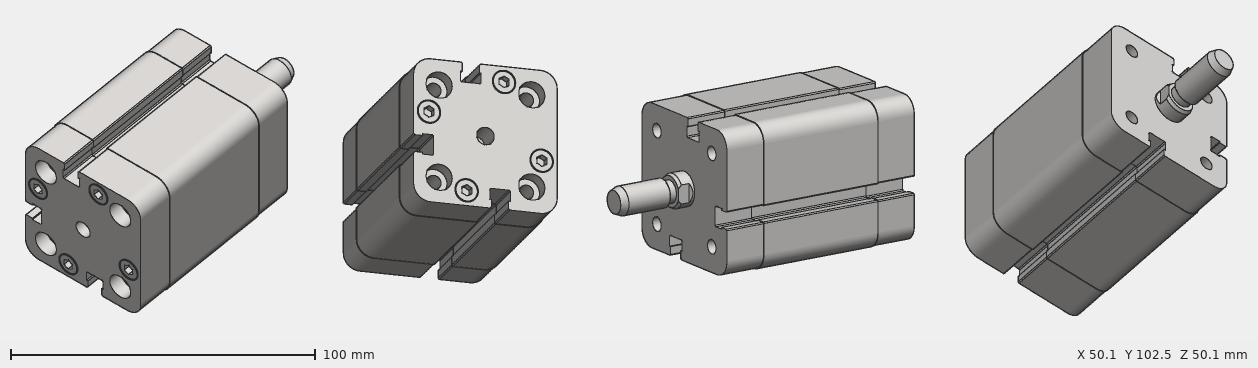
import cadquery as cq

OVERALL_LENGTH = 102.5
BARREL_SIDE = 50.1
CAP_SIDE = 49.6
BARREL_CORNER_RADIUS = 6.0
CAP_CORNER_RADIUS = BARREL_CORNER_RADIUS - (BARREL_SIDE - CAP_SIDE) / 2
CAP_LENGTH = 14.6
BARREL_LENGTH = 45.4
BODY_LENGTH = BARREL_LENGTH + 2 * CAP_LENGTH

SLOT_OFFSET = 5.0
CAP_SLOT_FLOOR_HEIGHT = 17.9
BARREL_SLOT_FLOOR_HEIGHT = 17.8
SLOT_LIP_HEIGHT = 21.7
BARREL_MOUTH_WIDTH = 5.5
CAP_MOUTH_WIDTH = 5.8
SLOT_UNDERCUT = 0.6
MOUTH_CHAMFER = 0.4
FLOOR_CHAMFER = 0.4
SLOT_ANGLES = (0, 90, 180)

MOUNT_SPACING = 32.0
MOUNT_DIAMETER = 4.9
MOUNT_BORE_DIAMETER = 9.0
MOUNT_BORE_DEPTH = 5.6

CENTRE_HOLE_DIAMETER = 6.0
CENTRE_HOLE_DEPTH = 10.2

SCREW_X = 6.5
SCREW_Z = 19.5
SCREW_POCKET_DIAMETER = 8.0
SCREW_HEAD_DIAMETER = 7.5
SCREW_GAP_DEPTH = 0.3
SOCKET_CORNER_DIAMETER = 4.0
SOCKET_DEPTH = 3.0

COLLAR_DIAMETER = 12.0
COLLAR_LENGTH = 5.8
COLLAR_CHAMFER_RADIAL = 0.6
COLLAR_CHAMFER_LENGTH = 1.2
FLATS_WIDTH = 10.0
FLATS_LENGTH = 4.2
NECK_DIAMETER = 7.9
NECK_LENGTH = 2.5
THREAD_DIAMETER = 10.0
THREAD_RUNOUT_LENGTH = 0.6
TIP_DIAMETER = 8.0
TIP_LENGTH = 2.6


def turned(shape, angle):
    """Turn a shape about the cylinder axis."""
    return shape.rotate((0, 0, 0), (0, 1, 0), angle)


def face_plane(y):
    """Plane at the given Y with X to the right, Z up, and its normal toward -Y."""
    return cq.Workplane("XZ", origin=(0, y, 0))


def slot_cutter(start, length, side, mouth_width, floor_height):
    """T-slot opening on the +Z side, with chamfered mouth and floor corners."""
    top = side / 2
    mouth = mouth_width / 2
    wide = mouth + SLOT_UNDERCUT
    right_side = [
        (mouth + MOUTH_CHAMFER, top),
        (mouth, top - MOUTH_CHAMFER),
        (mouth, SLOT_LIP_HEIGHT),
        (wide, SLOT_LIP_HEIGHT),
        (wide, floor_height + FLOOR_CHAMFER),
        (wide - FLOOR_CHAMFER, floor_height),
    ]
    left_side = [(-x, z) for x, z in reversed(right_side)]
    outline = [(x - SLOT_OFFSET, z) for x, z in right_side + left_side]
    return face_plane(start).polyline(outline).close().extrude(-length)


def body_section(start, length, side, corner_radius, mouth_width, floor_height):
    """Rounded square length of the body with its T-slots."""
    section = face_plane(start).rect(side, side).extrude(-length)
    section = section.edges("|Y").fillet(corner_radius)
    cutter = slot_cutter(start, length, side, mouth_width, floor_height)
    for angle in SLOT_ANGLES:
        section = section.cut(turned(cutter, -angle))
    return section


def make_body():
    """Barrel with a slightly smaller cap at each end."""
    barrel_shape = (BARREL_SIDE, BARREL_CORNER_RADIUS, BARREL_MOUTH_WIDTH, BARREL_SLOT_FLOOR_HEIGHT)
    cap_shape = (CAP_SIDE, CAP_CORNER_RADIUS, CAP_MOUTH_WIDTH, CAP_SLOT_FLOOR_HEIGHT)
    body = body_section(CAP_LENGTH, BARREL_LENGTH, *barrel_shape)
    for start in (0, CAP_LENGTH + BARREL_LENGTH):
        body = body.union(body_section(start, CAP_LENGTH, *cap_shape))
    return body


def cut_holes(body):
    """Cut the counterbored mounting holes and the central blind hole."""
    corners = face_plane(0).rect(MOUNT_SPACING, MOUNT_SPACING, forConstruction=True).vertices()
    through = corners.circle(MOUNT_DIAMETER / 2).extrude(-BODY_LENGTH)
    bores = corners.circle(MOUNT_BORE_DIAMETER / 2).extrude(-MOUNT_BORE_DEPTH)
    centre = face_plane(0).circle(CENTRE_HOLE_DIAMETER / 2).extrude(-CENTRE_HOLE_DEPTH)
    return body.cut(through).cut(bores).cut(centre)


def cut_screws(body):
    """Cut the hexagon sockets and the narrow gaps around the flush screw heads."""
    centres = [(SCREW_X, SCREW_Z), (SCREW_Z, -SCREW_X), (-SCREW_X, -SCREW_Z), (-SCREW_Z, SCREW_X)]
    for x, z in centres:
        centre = face_plane(0).center(x, z)
        gap = centre.circle(SCREW_POCKET_DIAMETER / 2).circle(SCREW_HEAD_DIAMETER / 2)
        gap = gap.extrude(-SCREW_GAP_DEPTH)
        socket = centre.transformed(rotate=(0, 0, 90)).polygon(6, SOCKET_CORNER_DIAMETER)
        socket = socket.extrude(-SOCKET_DEPTH)
        body = body.cut(gap).cut(socket)
    return body


def make_rod():
    """Turned rod end with two wrench flats facing -X and +X."""
    collar_end = BODY_LENGTH + COLLAR_LENGTH
    neck_end = collar_end + NECK_LENGTH
    collar_radius = COLLAR_DIAMETER / 2
    half_profile = [
        (0, BODY_LENGTH),
        (collar_radius, BODY_LENGTH),
        (collar_radius, collar_end - COLLAR_CHAMFER_LENGTH),
        (collar_radius - COLLAR_CHAMFER_RADIAL, collar_end),
        (NECK_DIAMETER / 2, collar_end),
        (NECK_DIAMETER / 2, neck_end),
        (THREAD_DIAMETER / 2, neck_end + THREAD_RUNOUT_LENGTH),
        (THREAD_DIAMETER / 2, OVERALL_LENGTH - TIP_LENGTH),
        (TIP_DIAMETER / 2, OVERALL_LENGTH),
        (0, OVERALL_LENGTH),
    ]
    rod = cq.Workplane("XY").polyline(half_profile).close().revolve(360, (0, 0, 0), (0, 1, 0))

    flat_start = collar_end - FLATS_LENGTH
    flat_depth = collar_radius - FLATS_WIDTH / 2
    for side in (-1, 1):
        flat = [
            (side * FLATS_WIDTH / 2, flat_start),
            (side * collar_radius, flat_start - flat_depth),
            (side * collar_radius, collar_end),
            (side * FLATS_WIDTH / 2, collar_end),
        ]
        cutter = cq.Workplane("XY").polyline(flat).close().extrude(collar_radius, both=True)
        rod = rod.cut(cutter)
    return rod


result = cut_screws(cut_holes(make_body())).union(make_rod())